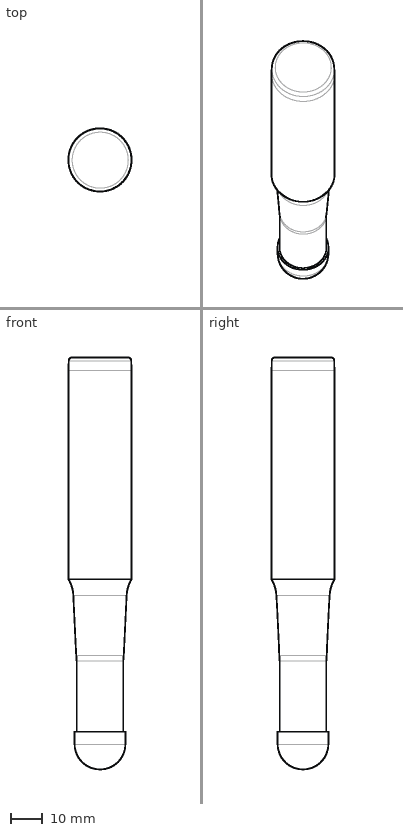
import cadquery as cq

total_length = 130.0
shank_radius = 10.0
tip_radius = 8.0
neck_radius = 7.4
taper_top_radius = 8.5
taper_bottom_radius = 7.5

tip_band_height = 3.9
tip_top = tip_radius + tip_band_height
neck_top = 34.3
taper_bottom = 36.0
taper_top = 55.0
shoulder_height = 60.0

end_round = 1.0
end_band_radius = 9.9
end_band_height = 4.0
end_band_bottom = total_length - end_band_height


def make_holder():
    """Cylindrical shank with a flared shoulder, a tapered stem and a straight neck."""
    return (
        cq.Workplane("XZ")
        .moveTo(0, tip_top)
        .lineTo(neck_radius, tip_top)
        .lineTo(neck_radius, neck_top)
        .tangentArcPoint((taper_bottom_radius, taper_bottom), relative=False)
        .lineTo(taper_top_radius, taper_top)
        .tangentArcPoint((shank_radius, shoulder_height), relative=False)
        .lineTo(shank_radius, end_band_bottom)
        .lineTo(end_band_radius, total_length - end_round)
        .radiusArc((end_band_radius - end_round, total_length), -end_round)
        .lineTo(0, total_length)
        .close()
        .revolve(360, (0, 0, 0), (0, 1, 0))
    )


def make_ball_tip():
    """Hemispherical tip with a short cylindrical band that butts against the neck."""
    return (
        cq.Workplane("XZ")
        .moveTo(0, 0)
        .radiusArc((tip_radius, tip_radius), -tip_radius)
        .lineTo(tip_radius, tip_top)
        .lineTo(0, tip_top)
        .close()
        .revolve(360, (0, 0, 0), (0, 1, 0))
    )


holder = make_holder()
ball_tip = make_ball_tip()
result = cq.Compound.makeCompound([holder.val(), ball_tip.val()])